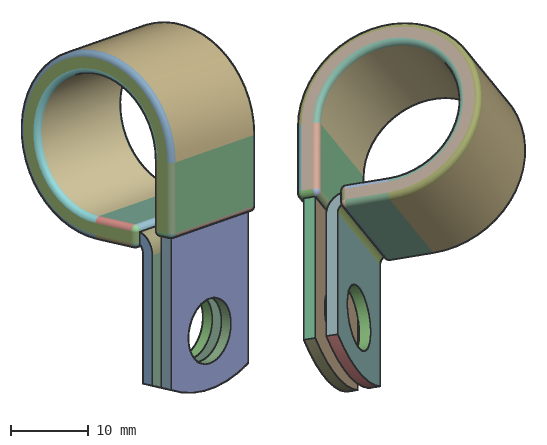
import cadquery as cq
import math

ring_outer_radius = 25.3 / 2
cushion_thickness = 3.1
cushion_width = 17.45
edge_round = 0.75
horizontal_tail_end_x = 6.7
vertical_tail_end_z = -10.32

total_height = 45.1
strap_thickness = 1.6
strap_width = cushion_width - 2 * edge_round
bent_leg_outer_x = 8.8
bend_inner_radius = 1.3
hole_diameter = 8.7
hole_above_tip = 7.85
tip_bulge = 1.7

ring_inner_radius = ring_outer_radius - cushion_thickness
strap_radius = ring_outer_radius - cushion_thickness / 2
tip_z = ring_outer_radius - total_height
strap_inner_radius = strap_radius - strap_thickness / 2
strap_outer_radius = strap_radius + strap_thickness / 2
bend_outer_radius = bend_inner_radius + strap_thickness
bend_x = bent_leg_outer_x - bend_outer_radius
bend_z = -strap_outer_radius - bend_inner_radius


def extrude_across(profile, width):
    """Extrude an XZ profile symmetrically about the Y = 0 plane."""
    return profile.extrude(width / 2, both=True)


def diagonal_point(radius):
    """Upper-left point of a circle about the ring axis."""
    return (-radius * math.sqrt(0.5), radius * math.sqrt(0.5))


def make_cushion():
    profile = (
        cq.Workplane("XZ")
        .moveTo(ring_outer_radius, vertical_tail_end_z)
        .lineTo(ring_outer_radius, 0)
        .threePointArc(diagonal_point(ring_outer_radius), (0, -ring_outer_radius))
        .lineTo(horizontal_tail_end_x, -ring_outer_radius)
        .lineTo(horizontal_tail_end_x, -ring_inner_radius)
        .lineTo(0, -ring_inner_radius)
        .threePointArc(diagonal_point(ring_inner_radius), (ring_inner_radius, 0))
        .lineTo(ring_inner_radius, vertical_tail_end_z)
        .close()
    )
    cushion = extrude_across(profile, cushion_width)
    side_edges = cushion.faces("<Y or >Y").edges()
    end_edges = cushion.edges("|Y").edges(
        cq.selectors.BoxSelector(
            (horizontal_tail_end_x - edge_round, -cushion_width, -total_height),
            (total_height, cushion_width, -ring_inner_radius + edge_round),
        )
    )
    return cushion.newObject(side_edges.vals() + end_edges.vals()).fillet(edge_round)


def make_straight_leg():
    profile = (
        cq.Workplane("XZ")
        .moveTo(strap_inner_radius, 0)
        .lineTo(strap_outer_radius, 0)
        .lineTo(strap_outer_radius, tip_z)
        .lineTo(strap_inner_radius, tip_z)
        .close()
    )
    return extrude_across(profile, strap_width)


def make_bent_leg():
    diagonal = math.sqrt(0.5)
    bend_outer_mid = (bend_x + bend_outer_radius * diagonal, bend_z + bend_outer_radius * diagonal)
    bend_inner_mid = (bend_x + bend_inner_radius * diagonal, bend_z + bend_inner_radius * diagonal)
    profile = (
        cq.Workplane("XZ")
        .moveTo(0, -strap_inner_radius)
        .lineTo(bend_x, -strap_inner_radius)
        .threePointArc(bend_outer_mid, (bent_leg_outer_x, bend_z))
        .lineTo(bent_leg_outer_x, tip_z)
        .lineTo(bent_leg_outer_x - strap_thickness, tip_z)
        .lineTo(bent_leg_outer_x - strap_thickness, bend_z)
        .threePointArc(bend_inner_mid, (bend_x, -strap_outer_radius))
        .lineTo(0, -strap_outer_radius)
        .close()
    )
    return extrude_across(profile, strap_width)


def make_leg_outline():
    """Straight-sided outline with an arched lower tip, extruded through both legs."""
    half_width = strap_width / 2
    shoulder_z = tip_z + tip_bulge
    return (
        cq.Workplane("YZ")
        .moveTo(-half_width, 0)
        .lineTo(-half_width, shoulder_z)
        .threePointArc((0, tip_z), (half_width, shoulder_z))
        .lineTo(half_width, 0)
        .close()
        .extrude(ring_outer_radius)
    )


def make_bolt_hole():
    return (
        cq.Workplane("YZ")
        .center(0, tip_z + hole_above_tip)
        .circle(hole_diameter / 2)
        .extrude(ring_outer_radius)
    )


legs = make_straight_leg().union(make_bent_leg())
legs = legs.intersect(make_leg_outline()).cut(make_bolt_hole())
result = make_cushion().union(legs)